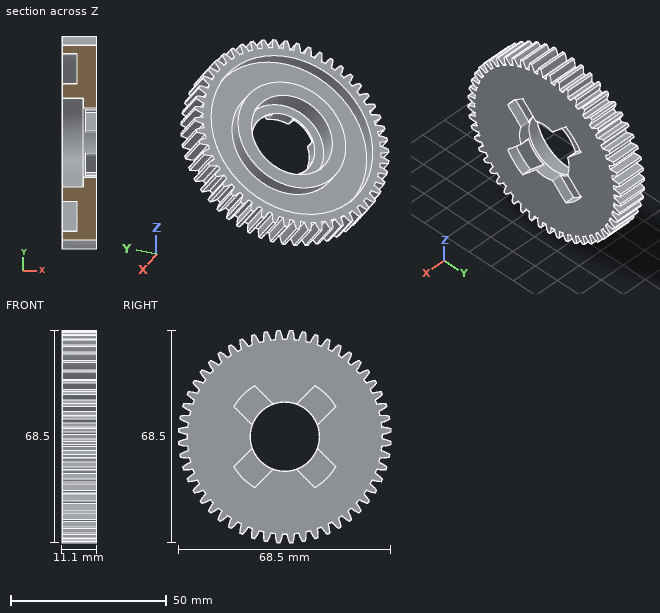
import math

import cadquery as cq

INCH = 25.4

tooth_count = 52
diametral_pitch = 20
module = INCH / diametral_pitch
dedendum_factor = 1.25
pitch_radius = tooth_count * module / 2
tip_radius = pitch_radius + module
root_radius = pitch_radius - dedendum_factor * module
tooth_pitch = 2 * math.pi / tooth_count
root_thickness = 2.42
pitch_thickness = 1.84
tip_thickness = 0.98

width = 7 / 16 * INCH
recess_diameter = 2.25 * INCH
hub_diameter = 1.5 * INCH
recess_depth = 3 / 16 * INCH
counterbore_diameter = 1.125 * INCH
counterbore_depth = 17 / 64 * INCH
bore_diameter = 7 / 8 * INCH

slot_width = 3 / 8 * INCH
slot_depth = 9 / 64 * INCH
slot_edge_radius = 1 / 64 * INCH
slot_angle = 45

near_face = -width / 2
far_face = width / 2


def polar(radius, angle):
    return (radius * math.cos(angle), radius * math.sin(angle))


def disc(diameter, start, length):
    """Cylinder about the X axis, running from X = start toward +X."""
    return cq.Workplane("YZ").workplane(offset=start).circle(diameter / 2).extrude(length)


def toothed_blank():
    """Full-width gear whose tooth spaces are centred on the Y and Z axes."""
    root_half = root_thickness / (2 * root_radius)
    pitch_half = pitch_thickness / (2 * pitch_radius)
    tip_half = tip_thickness / (2 * tip_radius)

    first_center = tooth_pitch / 2
    outline = cq.Workplane("YZ").workplane(offset=near_face)
    outline = outline.moveTo(*polar(root_radius, first_center - root_half))
    for index in range(tooth_count):
        center = first_center + index * tooth_pitch
        space_center = center + tooth_pitch / 2
        next_root = center + tooth_pitch - root_half
        leading_flank = polar(pitch_radius, center - pitch_half)
        trailing_flank = polar(pitch_radius, center + pitch_half)
        outline = (
            outline.threePointArc(leading_flank, polar(tip_radius, center - tip_half))
            .threePointArc(polar(tip_radius, center), polar(tip_radius, center + tip_half))
            .threePointArc(trailing_flank, polar(root_radius, center + root_half))
            .threePointArc(polar(root_radius, space_center), polar(root_radius, next_root))
        )
    return outline.close().extrude(width)


def annular_recess():
    """Ring-shaped pocket in the -X face between the rim and the hub."""
    pocket = disc(recess_diameter, near_face, recess_depth)
    return pocket.cut(disc(hub_diameter, near_face, recess_depth))


def dog_slots():
    """Crossed slots in the +X face, opening into the bore through rounded edges."""
    slot_floor = far_face - slot_depth
    bore_radius = bore_diameter / 2
    bars = disc(bore_diameter, slot_floor, slot_depth)
    for angle in (0, 90):
        bars = bars.union(
            cq.Workplane("YZ")
            .workplane(offset=slot_floor)
            .transformed(rotate=(0, 0, angle))
            .rect(hub_diameter, slot_width)
            .extrude(slot_depth)
        )
    bore_corners = cq.selectors.BoxSelector(
        (slot_floor, -bore_radius, -bore_radius),
        (far_face, bore_radius, bore_radius),
    )
    bars = bars.edges("|X").edges(bore_corners).fillet(slot_edge_radius)
    slots = bars.intersect(disc(hub_diameter, slot_floor, slot_depth))
    return slots.rotate((0, 0, 0), (1, 0, 0), slot_angle)


gear = toothed_blank()
gear = gear.cut(annular_recess())
gear = gear.cut(disc(counterbore_diameter, near_face, counterbore_depth))
gear = gear.cut(disc(bore_diameter, near_face, width))
result = gear.cut(dog_slots())